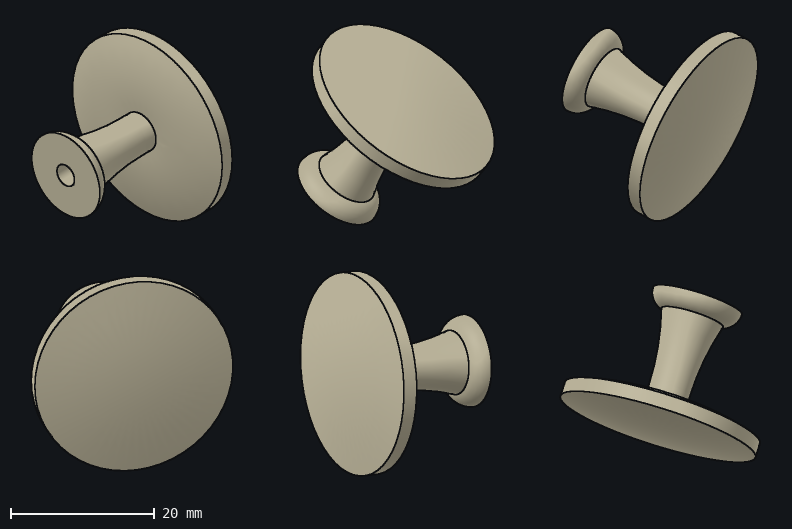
import cadquery as cq
import math


disc_diameter = 28.5
knob_height = 19.98

foot_diameter = 13.0
foot_height = 2.5

neck_diameter = 5.98
neck_base_diameter = 9.0
collar_length = 2.0

underside_height = 15.2
rim_bottom_height = 16.62
rim_top_height = 18.7
underside_arc_radius = 29.07

hole_diameter = 3.33
hole_depth = 10.0
drill_point_angle = 118.0


def dome_mid_point():
    """Return the point halfway along the face arc, which is centred on the knob axis."""
    rim_radius = disc_diameter / 2
    dome_rise = knob_height - rim_top_height
    dome_radius = (rim_radius**2 + dome_rise**2) / (2 * dome_rise)
    half_angle = math.asin(rim_radius / dome_radius) / 2
    drop = dome_radius * (1 - math.cos(half_angle))
    return dome_radius * math.sin(half_angle), knob_height - drop


def foot_arc_radius():
    """Return the radius of the rounded foot side, which meets the base at a right angle."""
    overhang = (foot_diameter - neck_base_diameter) / 2
    return (overhang**2 + foot_height**2) / (2 * overhang)


def make_body():
    """Revolve the half profile, drawn as (radius, height), about the Y axis."""
    collar_start = underside_height - collar_length
    neck_radius = neck_diameter / 2
    rim_radius = disc_diameter / 2
    return (
        cq.Workplane("XY")
        .moveTo(0, knob_height)
        .threePointArc(dome_mid_point(), (rim_radius, rim_top_height))
        .lineTo(rim_radius, rim_bottom_height)
        .radiusArc((neck_radius, underside_height), underside_arc_radius)
        .lineTo(neck_radius, collar_start)
        .tangentArcPoint((neck_base_diameter / 2, foot_height), relative=False)
        .radiusArc((foot_diameter / 2, 0), foot_arc_radius())
        .lineTo(0, 0)
        .close()
        .revolve(360, (0, 0, 0), (0, 1, 0))
    )


def make_screw_hole():
    """Make the blind hole from the foot, ending in a conical drill point."""
    hole_radius = hole_diameter / 2
    point_length = hole_radius / math.tan(math.radians(drill_point_angle / 2))
    return (
        cq.Workplane("XY")
        .lineTo(hole_radius, 0)
        .lineTo(hole_radius, hole_depth)
        .lineTo(0, hole_depth + point_length)
        .close()
        .revolve(360, (0, 0, 0), (0, 1, 0))
    )


result = make_body().cut(make_screw_hole())